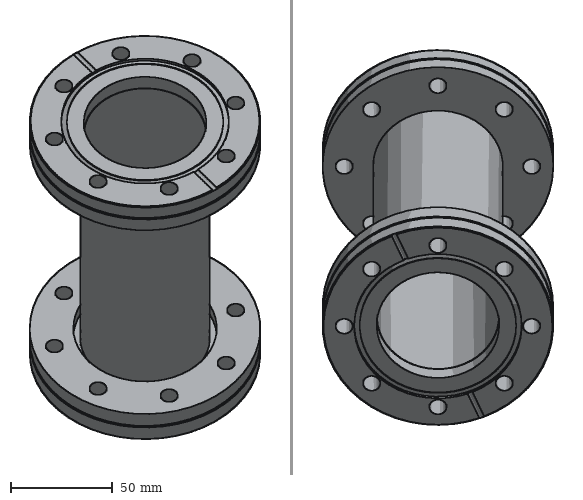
import cadquery as cq

TOTAL_LENGTH = 171.7
FLANGE_DIAMETER = 113.5
FIXED_THICKNESS = 17.2
ROTATABLE_THICKNESS = 19.0

TUBE_OUTER_DIAMETER = 63.5
TUBE_INNER_DIAMETER = 60.0
TUBE_END_INSET = 9.5

BORE_DIAMETER = 60.3
SOCKET_DIAMETER = 63.9

RECESS_DIAMETER = 82.5
RECESS_DEPTH = 1.5
KNIFE_DIAMETER = 77.0
KNIFE_DEPTH = 0.5
FLOOR_DEPTH = 1.0

INSERT_DIAMETER = 82.2
ROTATABLE_BORE_DIAMETER = 70.5
SHOULDER_DEPTH = 7.0
SHOULDER_HEIGHT = ROTATABLE_THICKNESS - SHOULDER_DEPTH

BOLT_COUNT = 8
BOLT_HOLE_DIAMETER = 8.4
BOLT_CIRCLE_DIAMETER = 92.2

EDGE_CHAMFER = 0.5
RIM_GROOVE_WIDTH = 1.0
RIM_GROOVE_DEPTH = 0.2
FIXED_RIM_GROOVE_INSET = 8.8
ROTATABLE_RIM_GROOVE_INSET = 9.6

LEAK_GROOVE_RADIUS = 1.7
LEAK_GROOVE_WIDTH = 2.5



def disc(diameter, bottom, top):
    return cq.Workplane("XY").workplane(offset=bottom).circle(diameter / 2).extrude(top - bottom)


def bolt_holes(thickness):
    return (
        cq.Workplane("XY")
        .polarArray(BOLT_CIRCLE_DIAMETER / 2, 180 / BOLT_COUNT, 360, BOLT_COUNT)
        .circle(BOLT_HOLE_DIAMETER / 2)
        .extrude(thickness)
    )


def rim_groove(inset):
    bottom = inset - RIM_GROOVE_WIDTH / 2
    top = inset + RIM_GROOVE_WIDTH / 2
    return disc(FLANGE_DIAMETER, bottom, top).cut(disc(FLANGE_DIAMETER - 2 * RIM_GROOVE_DEPTH, bottom, top))


def leak_grooves():
    """Round-bottomed channels along X, from the gasket recess out to the rim on both sides."""
    axis_drop = (LEAK_GROOVE_RADIUS**2 - (LEAK_GROOVE_WIDTH / 2) ** 2) ** 0.5
    channel = (
        cq.Workplane("YZ")
        .center(0, -axis_drop)
        .circle(LEAK_GROOVE_RADIUS)
        .extrude(FLANGE_DIAMETER / 2, both=True)
    )
    return channel.cut(disc(RECESS_DIAMETER, -LEAK_GROOVE_RADIUS * 2, LEAK_GROOVE_RADIUS))


def flange_blank(thickness, groove_inset):
    """Disc with a chamfered sealing edge, rim groove, bolt holes and leak-check grooves."""
    return (
        disc(FLANGE_DIAMETER, 0, thickness)
        .faces("<Z")
        .chamfer(EDGE_CHAMFER)
        .cut(rim_groove(groove_inset))
        .cut(bolt_holes(thickness))
        .cut(leak_grooves())
    )


def sealing_ring(outer_diameter, top):
    """Ring with the knife edge, the bore and the tube socket."""
    outer = outer_diameter / 2
    knife = KNIFE_DIAMETER / 2
    bore = BORE_DIAMETER / 2
    socket = SOCKET_DIAMETER / 2
    profile = [
        (bore, FLOOR_DEPTH),
        (knife, FLOOR_DEPTH),
        (knife, KNIFE_DEPTH),
        (outer, RECESS_DEPTH),
        (outer, top),
        (socket, top),
        (socket, TUBE_END_INSET),
        (bore, TUBE_END_INSET),
    ]
    return cq.Workplane("XZ").polyline(profile).close().revolve(360, (0, 0, 0), (0, 1, 0))


def make_fixed_flange():
    blank = flange_blank(FIXED_THICKNESS, FIXED_RIM_GROOVE_INSET)
    outer_ring = blank.cut(disc(RECESS_DIAMETER, 0, FIXED_THICKNESS))
    return outer_ring.union(sealing_ring(RECESS_DIAMETER, FIXED_THICKNESS))


def make_rotatable_flange():
    return (
        flange_blank(ROTATABLE_THICKNESS, ROTATABLE_RIM_GROOVE_INSET)
        .cut(disc(RECESS_DIAMETER, 0, SHOULDER_HEIGHT))
        .cut(disc(ROTATABLE_BORE_DIAMETER, 0, ROTATABLE_THICKNESS))
    )


def make_insert():
    return sealing_ring(INSERT_DIAMETER, SHOULDER_HEIGHT)


def make_tube():
    bottom = TUBE_END_INSET
    top = TOTAL_LENGTH - TUBE_END_INSET
    return disc(TUBE_OUTER_DIAMETER, bottom, top).cut(disc(TUBE_INNER_DIAMETER, bottom, top))


fixed_flange = make_fixed_flange().rotate((0, 0, 0), (1, 0, 0), 180).translate((0, 0, TOTAL_LENGTH))
rotatable_flange = make_rotatable_flange()
insert = make_insert()
tube = make_tube()

result = cq.Compound.makeCompound(
    [fixed_flange.val(), rotatable_flange.val(), insert.val(), tube.val()]
)